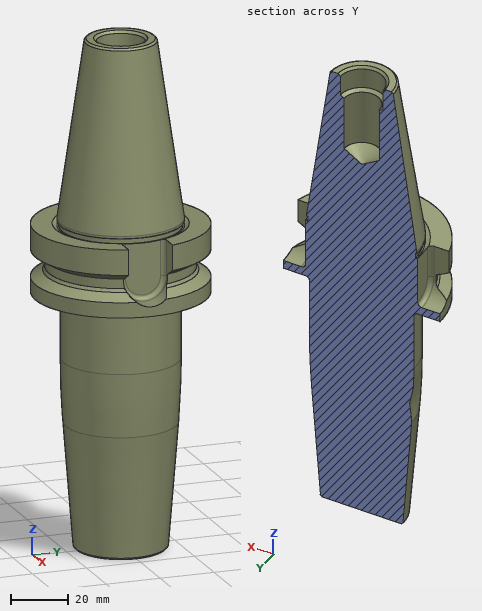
import cadquery as cq
import math

TOTAL_LENGTH = 185.4
GAUGE_Z = 120.0
COLLAR_BOTTOM_Z = 119.0
FLANGE_TOP_Z = 118.0
FLANGE_BOTTOM_Z = 93.0
BLEND_TOP_Z = 69.2
BLEND_BOTTOM_Z = 45.8

GAUGE_RADIUS = 22.2
TAPER_SLOPE = 7 / 48
NECK_RADIUS = 21.7
RECESS_RADIUS = 24.0
FLANGE_RADIUS = 31.5
BARREL_RADIUS = 21.1
NOSE_RADIUS = 16.7

GROOVE_RADIUS = 26.5
GROOVE_UPPER_Z = 108.6
GROOVE_LOWER_Z = 98.6
GROOVE_FLANK_ANGLE = 30.0
GROOVE_CORNER = 0.7

RECESS_DEPTH = 0.7
TOP_CHAMFER = 0.7
BARREL_CHAMFER = 1.0
NOSE_CHAMFER = 0.7

SLOT_WIDTH = 16.3
SLOT_BOTTOM_Z = 96.6
SLOT_FLOOR_X = 22.6
SLOT_FILLET = 1.7

BORE_RADIUS = 8.5
BORE_CHAMFER = 1.0
BORE_DEPTH = 8.9
SHOULDER_HEIGHT = 1.0
DRILL_RADIUS = 7.0
DRILL_DEPTH = 31.5
DRILL_POINT_ANGLE = 118.0


def make_body():
    """Revolve the outer profile: nose, barrel, grooved flange and taper."""
    flank_height = (FLANGE_RADIUS - GROOVE_RADIUS) * math.tan(math.radians(GROOVE_FLANK_ANGLE))
    groove_floor_top = GROOVE_UPPER_Z - flank_height
    groove_floor_bottom = GROOVE_LOWER_Z + flank_height
    small_end_radius = GAUGE_RADIUS - TAPER_SLOPE * (TOTAL_LENGTH - TOP_CHAMFER - GAUGE_Z)

    blend_height = BLEND_TOP_Z - BLEND_BOTTOM_Z
    cone_angle = math.atan((BARREL_RADIUS - NOSE_RADIUS) / (BLEND_BOTTOM_Z + blend_height / 2))
    arc_radius = blend_height / math.sin(cone_angle)
    arc_centre_r = BARREL_RADIUS - arc_radius
    blend_end = (arc_centre_r + arc_radius * math.cos(cone_angle), BLEND_BOTTOM_Z)
    blend_mid = (
        arc_centre_r + arc_radius * math.cos(cone_angle / 2),
        BLEND_TOP_Z - arc_radius * math.sin(cone_angle / 2),
    )
    recess_z = FLANGE_TOP_Z - RECESS_DEPTH

    return (
        cq.Workplane("XZ")
        .moveTo(0, 0)
        .lineTo(NOSE_RADIUS - NOSE_CHAMFER, 0)
        .lineTo(NOSE_RADIUS, NOSE_CHAMFER)
        .lineTo(*blend_end)
        .threePointArc(blend_mid, (BARREL_RADIUS, BLEND_TOP_Z))
        .lineTo(BARREL_RADIUS, FLANGE_BOTTOM_Z - BARREL_CHAMFER)
        .lineTo(BARREL_RADIUS + BARREL_CHAMFER, FLANGE_BOTTOM_Z)
        .lineTo(FLANGE_RADIUS, FLANGE_BOTTOM_Z)
        .lineTo(FLANGE_RADIUS, GROOVE_LOWER_Z)
        .lineTo(GROOVE_RADIUS + GROOVE_CORNER,
                groove_floor_bottom - GROOVE_CORNER * math.tan(math.radians(GROOVE_FLANK_ANGLE)))
        .lineTo(GROOVE_RADIUS, groove_floor_bottom + GROOVE_CORNER)
        .lineTo(GROOVE_RADIUS, groove_floor_top)
        .lineTo(FLANGE_RADIUS, GROOVE_UPPER_Z)
        .lineTo(FLANGE_RADIUS, FLANGE_TOP_Z)
        .lineTo(RECESS_RADIUS, FLANGE_TOP_Z)
        .lineTo(GAUGE_RADIUS, recess_z)
        .lineTo(NECK_RADIUS, recess_z)
        .lineTo(NECK_RADIUS, COLLAR_BOTTOM_Z)
        .lineTo(GAUGE_RADIUS, COLLAR_BOTTOM_Z)
        .lineTo(GAUGE_RADIUS, GAUGE_Z)
        .lineTo(small_end_radius, TOTAL_LENGTH - TOP_CHAMFER)
        .lineTo(small_end_radius - TOP_CHAMFER, TOTAL_LENGTH)
        .lineTo(0, TOTAL_LENGTH)
        .close()
        .revolve(360, (0, 0, 0), (0, 1, 0))
    )


def make_slot_cutter():
    """Round-bottomed drive slot on the +X side, filleted around its floor."""
    half_width = SLOT_WIDTH / 2
    arc_centre_z = SLOT_BOTTOM_Z + half_width
    cutter_top_z = FLANGE_TOP_Z + 2 * SLOT_FILLET
    cutter = (
        cq.Workplane("YZ", origin=(SLOT_FLOOR_X, 0, 0))
        .moveTo(half_width, cutter_top_z)
        .lineTo(half_width, arc_centre_z)
        .threePointArc((0, SLOT_BOTTOM_Z), (-half_width, arc_centre_z))
        .lineTo(-half_width, cutter_top_z)
        .close()
        .extrude(FLANGE_RADIUS)
    )
    floor_edges = cutter.faces("<X").edges("not(>Z)")
    return floor_edges.fillet(SLOT_FILLET)


def make_bore():
    """Revolve the chamfered, shouldered bore with its drill point."""
    shoulder_z = TOTAL_LENGTH - BORE_DEPTH
    drill_z = TOTAL_LENGTH - DRILL_DEPTH
    point_height = DRILL_RADIUS / math.tan(math.radians(DRILL_POINT_ANGLE / 2))
    return (
        cq.Workplane("XZ")
        .moveTo(0, TOTAL_LENGTH)
        .lineTo(BORE_RADIUS + BORE_CHAMFER, TOTAL_LENGTH)
        .lineTo(BORE_RADIUS, TOTAL_LENGTH - BORE_CHAMFER)
        .lineTo(BORE_RADIUS, shoulder_z)
        .lineTo(DRILL_RADIUS, shoulder_z - SHOULDER_HEIGHT)
        .lineTo(DRILL_RADIUS, drill_z)
        .lineTo(0, drill_z - point_height)
        .close()
        .revolve(360, (0, 0, 0), (0, 1, 0))
    )


result = make_body().cut(make_bore())
for side_angle in (0, 180):
    slot = make_slot_cutter().rotate((0, 0, 0), (0, 0, 1), side_angle)
    result = result.cut(slot)